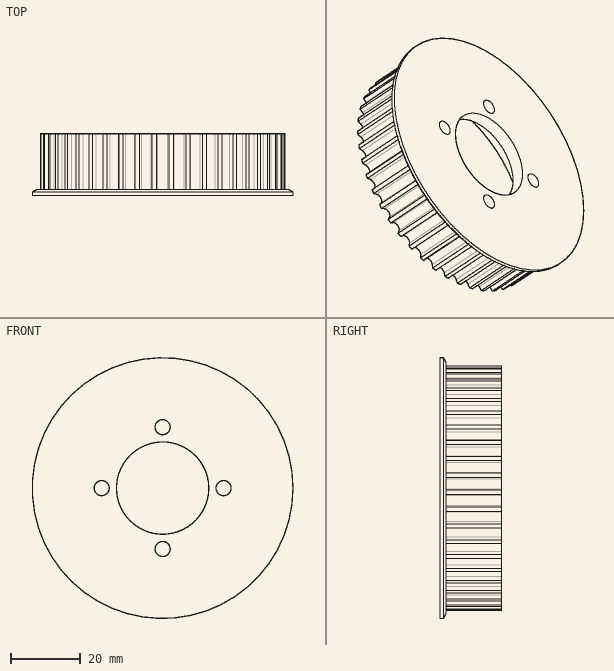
import cadquery as cq
import math


flange_diameter = 75.0
pulley_width = 17.8

flange_thickness = 1.8
flange_bevel_axial = 0.75
flange_bevel_radial = 1.35

tooth_count = 45
tip_diameter = 70.35
groove_depth = 2.2
groove_radius = 1.5
flank_angle = math.radians(20)

web_thickness = 4.0
recess_diameter = 60.0
bore_diameter = 26.5

hole_count = 4
hole_diameter = 4.3
hole_circle_diameter = 35.0


def disc(diameter, start, end):
    """Solid cylinder on the Y axis, from Y = start to Y = end."""
    return cq.Workplane("XZ", origin=(0, start, 0)).circle(diameter / 2).extrude(start - end)


def make_flange():
    """Flange disc whose rim is bevelled on the tooth side."""
    rim = flange_diameter / 2
    outline = (
        cq.Workplane("XY")
        .lineTo(rim, 0)
        .lineTo(rim, flange_thickness - flange_bevel_axial)
        .lineTo(rim - flange_bevel_radial, flange_thickness)
        .lineTo(0, flange_thickness)
        .close()
    )
    return outline.revolve(360, (0, 0, 0), (0, 1, 0))


def make_groove():
    """Cutter for one tooth gap at the top: a round bottom with tangent straight flanks."""
    tip_radius = tip_diameter / 2
    bottom = tip_radius - groove_depth
    arc_centre = bottom + groove_radius
    tangent_x = groove_radius * math.cos(flank_angle)
    tangent_z = arc_centre - groove_radius * math.sin(flank_angle)
    mouth_z = tip_radius + groove_radius
    mouth_x = tangent_x + (mouth_z - tangent_z) * math.tan(flank_angle)
    return (
        cq.Workplane("XZ", origin=(0, flange_thickness, 0))
        .moveTo(-mouth_x, mouth_z)
        .lineTo(-tangent_x, tangent_z)
        .threePointArc((0, bottom), (tangent_x, tangent_z))
        .lineTo(mouth_x, mouth_z)
        .close()
        .extrude(flange_thickness - pulley_width)
    )


def make_toothed_rim():
    """Rim with evenly spaced tooth gaps, the first one centred on +Z."""
    groove = make_groove().val()
    pitch_angle = 360 / tooth_count
    grooves = [groove.rotate((0, 0, 0), (0, 1, 0), i * pitch_angle) for i in range(tooth_count)]
    rim = disc(tip_diameter, flange_thickness, pulley_width).val()
    return cq.Workplane(rim.cut(*grooves))


def make_mounting_holes():
    """Cutters for the holes through the web, starting on the X axis."""
    return (
        cq.Workplane("XZ")
        .polarArray(hole_circle_diameter / 2, 0, 360, hole_count)
        .circle(hole_diameter / 2)
        .extrude(-web_thickness)
    )


recess = disc(recess_diameter, web_thickness, pulley_width)
bore = disc(bore_diameter, 0, web_thickness)

result = make_flange().union(make_toothed_rim()).cut(recess).cut(bore).cut(make_mounting_holes())